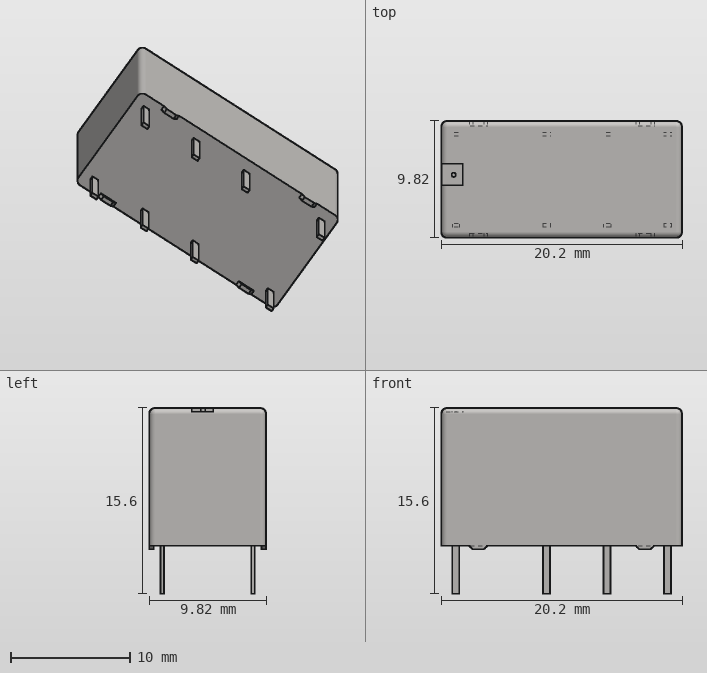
import cadquery as cq

LENGTH = 20.2
WIDTH = 9.82
TOTAL_HEIGHT = 15.6
PIN_LENGTH = 4.02
BODY_HEIGHT = TOTAL_HEIGHT - PIN_LENGTH
EDGE_RADIUS = 0.5

PIN_WIDTH = 0.6
PIN_THICKNESS = 0.3
PIN_ROW_SPACING = 7.62
PIN_PITCH = PIN_ROW_SPACING / 3
PIN_PITCH_POSITIONS = (-3.5, -0.5, 1.5, 3.5)
PIN_EMBED = 0.4

FOOT_HEIGHT = 0.28
FOOT_ROOT_LENGTH = 1.54
FOOT_TIP_LENGTH = 0.95
FOOT_DEPTH = 0.4
FOOT_END_OFFSET = 3.11

RECESS_LENGTH = 1.82
RECESS_WIDTH = 1.8
RECESS_DEPTH = 0.3
RECESS_Y = 0.42
POST_Y = 0.38
POST_DIAMETER = 0.36
POST_END_OFFSET = 1.05


def make_housing():
    """Block with rounded vertical and top edges and a flat underside."""
    block = cq.Workplane("XY").box(LENGTH, WIDTH, BODY_HEIGHT, centered=(True, True, False))
    return block.edges("|Z or >Z").fillet(EDGE_RADIUS)


def make_recess():
    """Pocket volume to remove, with the post left standing in it."""
    floor = cq.Workplane("XY").workplane(offset=BODY_HEIGHT - RECESS_DEPTH)
    pocket = (
        floor.center(-LENGTH / 2 + RECESS_LENGTH / 2, RECESS_Y)
        .rect(RECESS_LENGTH, RECESS_WIDTH)
        .extrude(RECESS_DEPTH)
    )
    post = (
        floor.center(-LENGTH / 2 + POST_END_OFFSET, POST_Y)
        .circle(POST_DIAMETER / 2)
        .extrude(RECESS_DEPTH)
    )
    return pocket.cut(post)


def make_foot(x, side):
    """Trapezoidal foot flush with the -Y (side = -1) or +Y (side = 1) face."""
    inner_y = side * (WIDTH / 2 - FOOT_DEPTH)
    outline = [
        (x - FOOT_ROOT_LENGTH / 2, 0),
        (x - FOOT_TIP_LENGTH / 2, -FOOT_HEIGHT),
        (x + FOOT_TIP_LENGTH / 2, -FOOT_HEIGHT),
        (x + FOOT_ROOT_LENGTH / 2, 0),
    ]
    inner_plane = cq.Workplane("XZ", origin=(0, inner_y, 0))
    return inner_plane.polyline(outline).close().extrude(-side * FOOT_DEPTH)


def make_pin(x, y):
    """Rectangular pin, its root embedded in the housing."""
    return (
        cq.Workplane("XY", origin=(x, y, -PIN_LENGTH))
        .rect(PIN_WIDTH, PIN_THICKNESS)
        .extrude(PIN_LENGTH + PIN_EMBED)
    )


result = make_housing().cut(make_recess())

for side in (-1, 1):
    for end in (-1, 1):
        foot_x = end * (LENGTH / 2 - FOOT_END_OFFSET)
        result = result.union(make_foot(foot_x, side))
    for position in PIN_PITCH_POSITIONS:
        pin_x = position * PIN_PITCH
        result = result.union(make_pin(pin_x, side * PIN_ROW_SPACING / 2))